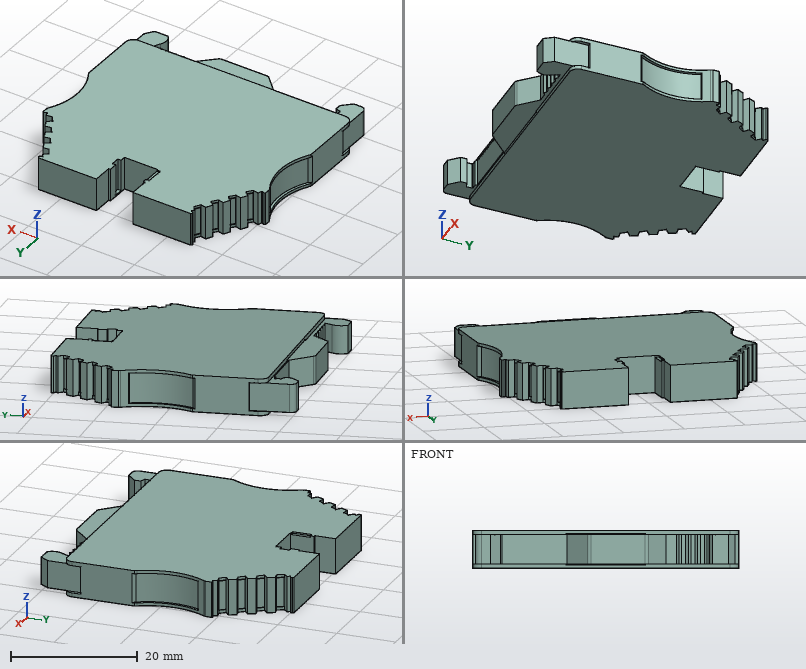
import cadquery as cq
import math


body_width = 42.0
body_thickness = 6.0
body_top = 36.45
corner_radius = 1.43
half_width = body_width / 2

scallop_middle_y = 18.0
scallop_half_height = 5.65
scallop_depth = 1.55
scallop_edge_x = 0.15
scallop_edge_y = 0.35
scallop_radius = (scallop_half_height**2 + scallop_depth**2) / (2 * scallop_depth)
scallop_floor_x = half_width - scallop_edge_x - scallop_depth
scallop_centre_x = scallop_floor_x + scallop_radius
finger_recess_depth = 0.45
finger_recess_y = (12.1, 22.5)
finger_recess_bottom_lip_y = 11.65
inner_thickness = 4.95

tooth_count = 4
tooth_step = (1.55, -2.65)
first_notch = (13.7, 34.55)
first_valley = (14.32, 33.47)
first_shoulder = (15.37, 33.7)
first_tip = (15.95, 32.5)
notch_from_tip = (-0.85, -0.7)
grip_recess_depth = 0.15
beak_points = [(14.35, body_top), (14.55, 36.3), (14.55, 36.0), (14.03, 35.7), (14.4, 35.32)]
lip_points = [(20.25, 25.05), (20.4, 25.05), (20.8, 25.25), (half_width, 25.1)]

slot_upper_half_width = 3.45
slot_lower_half_width = 3.1
slot_step_y = 32.93
slot_floor_y = 28.9
pocket_wall_x = 3.75
left_pocket_y = (29.05, 32.2)
right_pocket_y = (29.85, 31.4)
pocket_lip = 0.25

foot_thickness = 4.6
foot_socket_top = 2.9
left_foot_x = -20.6
right_foot_x = 20.4
left_rail_y = -0.15
right_rail_y = -0.65
rail_edge_x = 17.3

left_foot_bottom = -4.55
left_foot_radius = 0.95
hook_tip_x = -16.6
hook_tip_y = (-2.95, -1.85)
hook_toe_x = hook_tip_x - (hook_tip_y[0] - left_foot_bottom)
throat_x = -17.55
throat_y = (-1.55, -0.45)
throat_corner = 0.13
rail_start_x = -16.35

right_foot_bottom = -4.45
right_foot_bulge = (16.3, -3.2)
right_foot_bulge_start = (16.65, -1.95)
right_foot_toe_x = (16.85, 19.35)
right_foot_slant_y = -2.95

bump_half_width = 6.3
bump_bottom = -3.65
bump_left_x = -bump_half_width - bump_bottom
bump_right_x = 6.5
bump_corner_radius = 0.85
bump_groove_depth = 0.35
ramp_end_x = bump_right_x + right_rail_y - bump_bottom

ridge_count = 4
first_ridge_x = 11.55
ridge_pitch = 1.45
ridge_half_width = 0.4
ridge_height = 0.35


def shifted(point, offset, times=1):
    """Point moved by a number of equal offsets."""
    return (point[0] + offset[0] * times, point[1] + offset[1] * times)


def slab(outline, thickness):
    """Closed outline extruded equally to both sides of Z = 0."""
    return outline.close().extrude(thickness / 2, both=True)


def block(x_range, y_range, z_range):
    """Box between pairs of X, Y and Z limits."""
    lows, highs = zip(x_range, y_range, z_range)
    sizes = [high - low for low, high in zip(lows, highs)]
    return cq.Workplane("XY").box(*sizes, centered=False).translate(lows)


def notch_point(index):
    """Inner corner above tooth `index` on the right shoulder."""
    if index == 0:
        return first_notch
    return shifted(shifted(first_tip, notch_from_tip), tooth_step, index - 1)


def tooth_points(index):
    """Notch, valley, shoulder and tip of one grip tooth on the right side."""
    points = [notch_point(index)]
    points += [shifted(p, tooth_step, index) for p in (first_valley, first_shoulder)]
    if index < tooth_count - 1:
        points.append(shifted(first_tip, tooth_step, index))
    return points


def body_half():
    """Right half of the body, with grip teeth, scallop and rounded lower corner."""
    points = [(slot_lower_half_width, slot_floor_y), (slot_lower_half_width, slot_step_y)]
    points += [(slot_upper_half_width, slot_step_y), (slot_upper_half_width, body_top)]
    points += beak_points
    for index in range(tooth_count):
        points += tooth_points(index)
    points += lip_points

    scallop_top = scallop_middle_y + scallop_half_height
    scallop_bottom = scallop_middle_y - scallop_half_height
    scallop_x = half_width - scallop_edge_x
    outline = cq.Workplane("XY").moveTo(0, slot_floor_y).polyline(points, includeCurrent=True)
    outline = (
        outline.lineTo(half_width, scallop_top + scallop_edge_y)
        .lineTo(scallop_x, scallop_top)
        .threePointArc((scallop_floor_x, scallop_middle_y), (scallop_x, scallop_bottom))
        .lineTo(half_width, scallop_bottom - scallop_edge_y)
        .lineTo(half_width, corner_radius)
        .radiusArc((half_width - corner_radius, 0), corner_radius)
        .lineTo(0, 0)
    )
    return slab(outline, body_thickness)


def finger_recess():
    """Deeper scallop between the two outer faces, concentric with the right scallop."""
    radius = scallop_radius + finger_recess_depth
    floor_x = scallop_centre_x - radius
    bottom, top = (
        (scallop_centre_x - math.sqrt(radius**2 - (y - scallop_middle_y) ** 2), y)
        for y in finger_recess_y
    )
    outline = (
        cq.Workplane("XY")
        .moveTo(half_width, finger_recess_bottom_lip_y)
        .lineTo(*bottom)
        .threePointArc((floor_x, scallop_middle_y), top)
        .lineTo(half_width, top[1])
    )
    return slab(outline, inner_thickness)


def grip_recess(index):
    """Shallow recess in the face from a notch to its valley, between the outer faces."""
    notch = notch_point(index)
    valley = shifted(first_valley, tooth_step, index)
    length = math.dist(notch, valley)
    inward = (
        (valley[1] - notch[1]) / length * grip_recess_depth,
        (notch[0] - valley[0]) / length * grip_recess_depth,
    )
    corners = [notch, valley, shifted(valley, inward), shifted(notch, inward)]
    return slab(cq.Workplane("XY").polyline(corners), inner_thickness)


def make_body():
    """Both halves of the body with their recesses and the slot pockets."""
    half = body_half().cut(finger_recess())
    for index in range(tooth_count):
        half = half.cut(grip_recess(index))
    body = half.union(half.mirror("YZ"))

    face_z = body_thickness / 2
    left_x = (-pocket_wall_x, -slot_lower_half_width)
    right_x = (slot_lower_half_width, pocket_wall_x)
    body = body.cut(block(left_x, left_pocket_y, (face_z - pocket_lip, face_z)))
    body = body.cut(block(right_x, right_pocket_y, (pocket_lip - face_z, face_z)))

    groove_x = (-bump_half_width, bump_half_width)
    groove_z = (-inner_thickness / 2, inner_thickness / 2)
    body = body.cut(block(groove_x, (0, bump_groove_depth), groove_z))

    socket_y = (-corner_radius, foot_socket_top)
    socket_z = (-foot_thickness / 2, foot_thickness / 2)
    body = body.cut(block((-half_width, left_foot_x), socket_y, socket_z))
    return body.cut(block((right_foot_x, half_width), socket_y, socket_z))


def left_foot():
    """Hooked foot with a rounded outer corner."""
    points = [
        (left_foot_x, left_foot_bottom),
        (hook_toe_x, left_foot_bottom),
        (hook_tip_x, hook_tip_y[0]),
        (hook_tip_x, hook_tip_y[1]),
        (throat_x, throat_y[0]),
        (throat_x, throat_y[1] - throat_corner),
        (throat_x + throat_corner, throat_y[1]),
        (hook_tip_x, throat_y[1]),
        (rail_start_x, left_rail_y),
        (rail_start_x, foot_socket_top),
        (left_foot_x, foot_socket_top),
    ]
    foot = slab(cq.Workplane("XY").polyline(points), foot_thickness)
    corner = cq.selectors.NearestToPointSelector((left_foot_x, left_foot_bottom, 0))
    return foot.edges("|Z").edges(corner).fillet(left_foot_radius)


def right_foot():
    """Foot with a bulged inner side and a slanted outer corner."""
    outline = (
        cq.Workplane("XY")
        .moveTo(rail_edge_x, right_rail_y)
        .lineTo(*right_foot_bulge_start)
        .threePointArc(right_foot_bulge, (right_foot_toe_x[0], right_foot_bottom))
        .lineTo(right_foot_toe_x[1], right_foot_bottom)
        .lineTo(right_foot_x, right_foot_slant_y)
        .lineTo(right_foot_x, foot_socket_top)
        .lineTo(rail_edge_x, foot_socket_top)
    )
    return slab(outline, foot_thickness)


def rail_edge():
    """Strips below the body on both sides of the bump, with ridges on the right one."""
    z_range = (-foot_thickness / 2, foot_thickness / 2)
    strip = block((rail_start_x, 0), (left_rail_y, foot_socket_top), z_range)
    strip = strip.union(block((0, rail_edge_x), (right_rail_y, foot_socket_top), z_range))
    for index in range(ridge_count):
        x = first_ridge_x + index * ridge_pitch
        ridge = cq.Workplane("XY").polyline(
            [
                (x - ridge_half_width, right_rail_y),
                (x, right_rail_y - ridge_height),
                (x + ridge_half_width, right_rail_y),
            ]
        )
        strip = strip.union(slab(ridge, foot_thickness))
    return strip


def bump():
    """Central bump with 45 degree flanks and rounded lower corners."""
    points = [
        (-bump_half_width, 0),
        (bump_left_x, bump_bottom),
        (bump_right_x, bump_bottom),
        (ramp_end_x, right_rail_y),
        (ramp_end_x, 0),
    ]
    shape = slab(cq.Workplane("XY").polyline(points), foot_thickness)
    for x in (bump_left_x, bump_right_x):
        corner = cq.selectors.NearestToPointSelector((x, bump_bottom, 0))
        shape = shape.edges("|Z").edges(corner).fillet(bump_corner_radius)
    return shape


result = make_body()
for attachment in (left_foot(), right_foot(), rail_edge(), bump()):
    result = result.union(attachment)